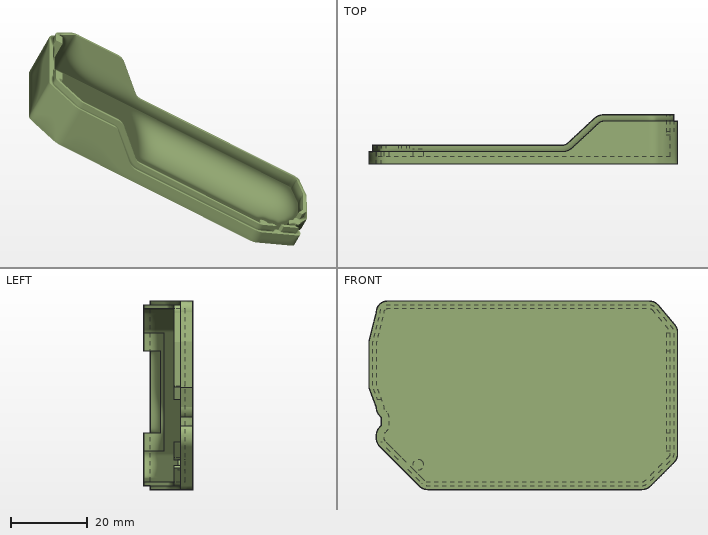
import cadquery as cq
import math

length = 80.6
height = 49.2

wall = 2.0
floor = wall
lip_inset = wall / 2
lip_rise = 1.7
shallow_depth = 3.2
deep_depth = 11.2

rise_angle = math.radians(43)
rise_start_x = 52.0
rise_end_x = rise_start_x + (deep_depth - shallow_depth) / math.tan(rise_angle)
rise_foot_radius = 4.0
rise_crest_radius = 2.0

left_side_x = 1.9
corner_radius = 3.2
top_left_radius = 3.0
bulge_top_z = 38.6
bulge_bottom_z = 26.7
lower_left_chamfer = 12.2
lower_right_chamfer = 8.05
upper_right_chamfer_x = 6.0
upper_right_chamfer_z = 7.1

notch_floor_x = 3.2
notch_top_z = 21.5
notch_bottom_z = 14.1
notch_round_radius = 3.2

left_gap_bottom_z = 12.4
left_gap_top_z = 23.5
slot_width = 3.0
slot_center_z = 6.7

pad_thickness = 1.0
pad_bottom_y = 7.6
pad_bottom_z = 10.15
pad_top_z = 40.85
recess_bottom_y = 8.5
recess_bottom_z = 14.8
recess_top_z = 36.2

post_diameter = 2.8
post_top_y = 3.95
post_x = 12.9
post_z = 6.5

lip_depth = deep_depth + lip_rise


def box_between(x_range, y_range, z_range):
    """Box filling the given (low, high) ranges."""
    sizes = [high - low for low, high in (x_range, y_range, z_range)]
    corner = (x_range[0], y_range[0], z_range[0])
    return cq.Workplane("XY").box(*sizes, centered=False).translate(corner)


def front_outline():
    """Closed outline in XZ, with the corners between straight sides still sharp."""
    notch_step = notch_floor_x - left_side_x
    turn = math.acos(1 - notch_step / notch_round_radius)
    round_height = notch_round_radius * math.sin(turn)
    mid_x = left_side_x + notch_round_radius * (1 - math.cos(turn / 2))
    mid_height = notch_round_radius * math.sin(turn / 2)

    corner_mid = top_left_radius * (1 - math.sqrt(0.5))
    return (
        cq.Workplane("XZ")
        .moveTo(left_side_x + top_left_radius, height)
        .lineTo(length - upper_right_chamfer_x, height)
        .lineTo(length, height - upper_right_chamfer_z)
        .lineTo(length, lower_right_chamfer)
        .lineTo(length - lower_right_chamfer, 0)
        .lineTo(left_side_x + lower_left_chamfer, 0)
        .lineTo(left_side_x, lower_left_chamfer)
        .lineTo(left_side_x, notch_bottom_z)
        .threePointArc(
            (mid_x, notch_bottom_z + mid_height),
            (notch_floor_x, notch_bottom_z + round_height),
        )
        .lineTo(notch_floor_x, notch_top_z - round_height)
        .threePointArc((mid_x, notch_top_z - mid_height), (left_side_x, notch_top_z))
        .lineTo(0, bulge_bottom_z)
        .lineTo(0, bulge_top_z)
        .lineTo(left_side_x, height - top_left_radius)
        .threePointArc(
            (left_side_x + corner_mid, height - corner_mid),
            (left_side_x + top_left_radius, height),
        )
        .close()
    )


def rounded_block():
    """Full-depth block on the front outline with its chamfer corners rounded."""
    chamfer_corners = [
        (length - upper_right_chamfer_x, height),
        (length, height - upper_right_chamfer_z),
        (length, lower_right_chamfer),
        (length - lower_right_chamfer, 0),
        (left_side_x + lower_left_chamfer, 0),
        (left_side_x, lower_left_chamfer),
    ]
    block = front_outline().extrude(-lip_depth)
    edges = cq.Workplane("XY")
    for x, z in chamfer_corners:
        edges = edges.add(block.edges(cq.NearestToPointSelector((x, lip_depth / 2, z))))
    return block.newObject([block.val().fillet(corner_radius, edges.vals())])


def inset_block(block, inset, start_y):
    """Solid on the block's outline moved inward, running from start_y to the back."""
    outline = block.faces("<Y").wires().val().offset2D(-inset, "arc")[0]
    solid = cq.Solid.extrudeLinear(outline, [], cq.Vector(0, lip_depth - start_y, 0))
    return cq.Workplane("XY").add(solid.translate(cq.Vector(0, start_y, 0)))


def stepped_depth(offset):
    """Side profile of the tray, raised square to its back by offset, across the full height."""
    shift = offset * math.tan(rise_angle / 2)
    foot_x = rise_start_x - shift
    crest_x = rise_end_x - shift
    low_y = shallow_depth + offset
    high_y = deep_depth + offset
    corners = [(0, 0), (length, 0), (length, high_y), (crest_x, high_y), (foot_x, low_y), (0, low_y)]
    profile = cq.Workplane("XY").polyline(corners).close().extrude(height)
    profile = profile.edges(cq.NearestToPointSelector((foot_x, low_y, height / 2))).fillet(
        rise_foot_radius - offset
    )
    return profile.edges(cq.NearestToPointSelector((crest_x, high_y, height / 2))).fillet(
        rise_crest_radius + offset
    )


def lip_slot():
    """Slot square to the lower left chamfer, cutting the lip only."""
    lip_line = left_side_x + lower_left_chamfer + lip_inset * math.sqrt(2)
    slot_length = 2 * wall
    slot = cq.Workplane("XY").box(slot_length, lip_rise, slot_width)
    slot = slot.rotate((0, 0, 0), (0, 1, 0), -45)
    return slot.translate((lip_line - slot_center_z, shallow_depth + lip_rise / 2, slot_center_z))


block = rounded_block()
body = block.intersect(stepped_depth(0))
lip = inset_block(block, lip_inset, 0).intersect(stepped_depth(lip_rise))
tray = body.union(lip).cut(inset_block(block, wall, floor))

left_gap = box_between(
    (0, notch_floor_x + wall),
    (shallow_depth, shallow_depth + lip_rise),
    (left_gap_bottom_z, left_gap_top_z),
)
tray = tray.cut(left_gap).cut(lip_slot())

inner_x = length - wall
pad = box_between((inner_x - pad_thickness, inner_x), (pad_bottom_y, lip_depth), (pad_bottom_z, pad_top_z))
recess = box_between(
    (inner_x - pad_thickness, length - lip_inset),
    (recess_bottom_y, lip_depth),
    (recess_bottom_z, recess_top_z),
)
tray = tray.union(pad).cut(recess)

post = cq.Workplane("XZ").center(post_x, post_z).circle(post_diameter / 2).extrude(-post_top_y)

result = tray.union(post)